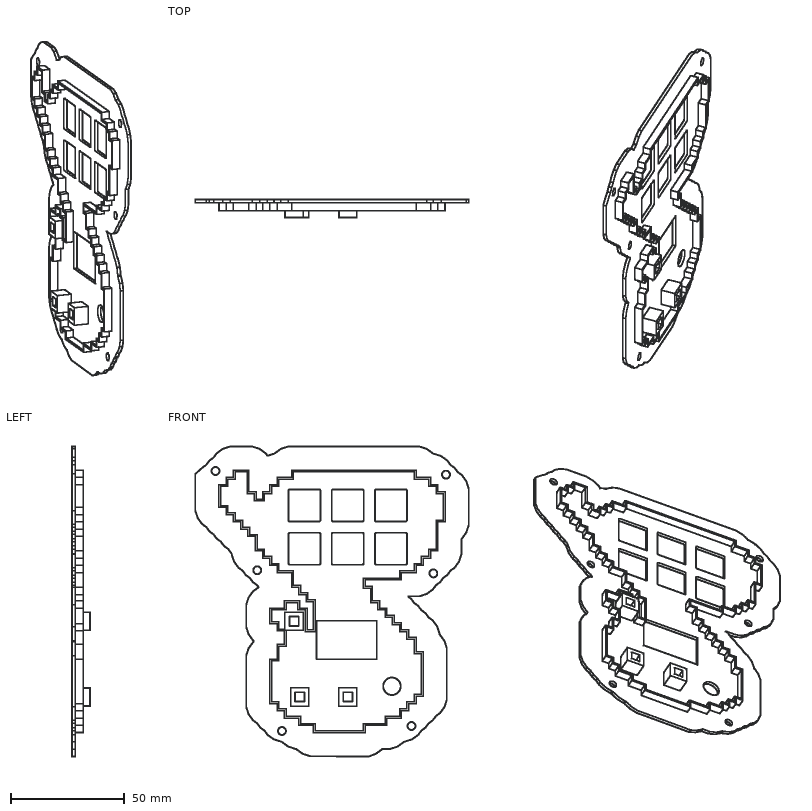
import cadquery as cq
import math

plate_thickness = 1.5
wall_depth = 5.0
post_depth = 8.0

cell = 3.2
grid_columns = 31
grid_rows = 36
wall_outset = 0.2
wall_thickness = 0.8

border = 10.635
border_sides = 20
neck_corner = (25, 15)
bottom_drop = 0.2
border_radius = border / math.cos(math.pi / border_sides)

key_size = 14.0
key_corner_radius = 0.5
key_pitch = 19.05
key_centre = (6.9, 32.7)
key_columns = 3
key_rows = 2
screen_size = (26.4, 16.9)
screen_centre = (6.4, -17.0)
jack_diameter = 7.6
jack_centre = (26.4, -37.4)
screw_diameter = 3.4
screw_centres = [
    (-51.3, 57.4),
    (50.2, 55.8),
    (-32.9, 13.7),
    (44.65, 12.3),
    (-22.05, -57.1),
    (35.0, -54.9),
]

post_size = 8.0
post_hole = 4.0
post_centres = [(-16.7, -8.75), (-14.2, -42.1), (7.0, -42.1)]

outline_steps = [
    (0, 2), (1, 2), (1, 1), (2, 1), (2, 0), (4, 0), (4, 3), (5, 3), (5, 4),
    (6, 4), (6, 3), (7, 3), (7, 2), (8, 2), (8, 1), (10, 1), (10, 0),
    (27, 0), (27, 1), (29, 1), (29, 2), (30, 2), (30, 3), (31, 3), (31, 7), (30, 7),
    (30, 11), (29, 11), (29, 12), (28, 12), (28, 13), (27, 13), (27, 14), (25, 14), (25, 15),
    (20, 15), (20, 16), (21, 16), (21, 18), (22, 18), (22, 19), (23, 19), (23, 20),
    (24, 20), (24, 21), (25, 21), (25, 22), (26, 22), (26, 23), (27, 23), (27, 25), (28, 25),
    (28, 31), (27, 31), (27, 32), (26, 32), (26, 33), (25, 33), (25, 34), (23, 34), (23, 35),
    (20, 35), (20, 36), (13, 36), (13, 35), (11, 35), (11, 34), (9, 34), (9, 33), (8, 33), (8, 32),
    (7, 32), (7, 26), (8, 26), (8, 24), (9, 24), (9, 22), (8, 22), (8, 21), (7, 21), (7, 19),
    (9, 19), (9, 18), (11, 18), (11, 19), (12, 19), (12, 22), (13, 22), (13, 18),
    (12, 18), (12, 17), (11, 17), (11, 16), (10, 16), (10, 14), (8, 14), (8, 13), (7, 13), (7, 12),
    (6, 12), (6, 11), (5, 11), (5, 9), (4, 9), (4, 8), (3, 8), (3, 7), (2, 7), (2, 6),
    (1, 6), (1, 5), (0, 5),
]


def grid_point(column, row):
    """X and Z of a grid crossing."""
    return ((column - grid_columns / 2) * cell, (grid_rows / 2 - row) * cell)


outline = [grid_point(column, row) for column, row in outline_steps]


def front_plane(depth=0.0):
    """Sketch plane facing -Y, `depth` in front of the back of the plate."""
    return cq.Workplane("XZ", origin=(0, -depth, 0))


def border_corner(column, row, side):
    """Corner number `side`, counter-clockwise from +X, of the border polygon at a grid crossing."""
    x, z = grid_point(column, row)
    angle = (side + 0.5) * 2 * math.pi / border_sides
    return (x + border_radius * math.cos(angle), z + border_radius * math.sin(angle))


def border_polygon(column, row):
    """Border polygon centred on a grid crossing."""
    return [border_corner(column, row, side) for side in range(border_sides)]


def border_strip(start, end):
    """Rectangle along a run of the outline, reaching one border to each side of it."""
    (x0, z0), (x1, z1) = sorted([grid_point(*start), grid_point(*end)])
    if z0 == z1:
        return [(x0, z0 - border), (x1, z0 - border), (x1, z0 + border), (x0, z0 + border)]
    return [(x0 - border, z0), (x0 + border, z0), (x0 + border, z1), (x0 - border, z1)]


def is_convex(before, corner, after):
    """True where the clockwise outline turns right; rows count downwards."""
    turn = (corner[0] - before[0]) * (after[1] - corner[1])
    turn -= (corner[1] - before[1]) * (after[0] - corner[0])
    return turn > 0


def border_pieces():
    """Polygons that together with the stepped outline cover the plate."""
    pieces = []
    following = outline_steps[1:] + outline_steps[:1]
    preceding = outline_steps[-1:] + outline_steps[:-1]
    for corner, after in zip(outline_steps, following):
        if math.dist(corner, after) > 1:
            pieces.append(border_strip(corner, after))
    for before, corner, after in zip(preceding, outline_steps, following):
        if is_convex(before, corner, after) and corner != neck_corner:
            pieces.append(border_polygon(*corner))
    return pieces


def ear_patch():
    """Fills the ear's border out to the left side of the plate."""
    upper = border_corner(0, 2, 7)
    moved = border_corner(0, 2, 8)
    lower = border_corner(0, 2, 9)
    return [upper, (lower[0], moved[1]), lower]


def bottom_patch():
    """Lets the bottom edge sink slightly towards its right end."""
    left = border_corner(13, 36, 14)
    moved = border_corner(20, 36, 15)
    right = border_corner(20, 36, 16)
    return [left, (moved[0], moved[1] - bottom_drop), right]


def plate_blank():
    """Stepped outline widened by the border on all sides, without cutouts."""
    face = cq.Sketch().polygon(outline + outline[:1])
    for piece in border_pieces() + [ear_patch(), bottom_patch()]:
        face = face.polygon(piece + piece[:1]).clean()
    return front_plane().placeSketch(face).extrude(plate_thickness)


def square_bars(centres, width, height, length):
    """Rectangular bars running forward from the back of the plate."""
    return front_plane().pushPoints(centres).rect(width, height).extrude(length)


def round_bars(centres, diameter, length):
    """Round bars running forward from the back of the plate."""
    return front_plane().pushPoints(centres).circle(diameter / 2).extrude(length)


key_centres = [
    (
        key_centre[0] + (column - (key_columns - 1) / 2) * key_pitch,
        key_centre[1] + (row - (key_rows - 1) / 2) * key_pitch,
    )
    for column in range(key_columns)
    for row in range(key_rows)
]
key_bars = square_bars(key_centres, key_size, key_size, plate_thickness)

plate = (
    plate_blank()
    .cut(key_bars.edges("|Y").fillet(key_corner_radius))
    .cut(square_bars([screen_centre], *screen_size, plate_thickness))
    .cut(round_bars([jack_centre], jack_diameter, plate_thickness))
    .cut(round_bars(screw_centres, screw_diameter, plate_thickness))
    .cut(square_bars(post_centres, post_hole, post_hole, plate_thickness))
)


def post(centre):
    """Square post with a square hole along it."""
    return (
        front_plane(plate_thickness)
        .center(*centre)
        .rect(post_size, post_size)
        .rect(post_hole, post_hole)
        .extrude(post_depth - plate_thickness)
    )


posts = [post(centre) for centre in post_centres]


def wall_blank(outset):
    """Stepped block whose sides stand `outset` beyond the grid lines."""
    steps = front_plane(plate_thickness).polyline(outline).close()
    return steps.offset2D(outset, "intersection").extrude(wall_depth - plate_thickness)


wall = wall_blank(wall_outset).cut(wall_blank(wall_outset - wall_thickness))
for single_post in posts:
    wall = wall.cut(single_post)


result = cq.Compound.makeCompound(
    [
        plate.solids().val(),
        wall.solids().val(),
        *[single_post.solids().val() for single_post in posts],
    ]
)